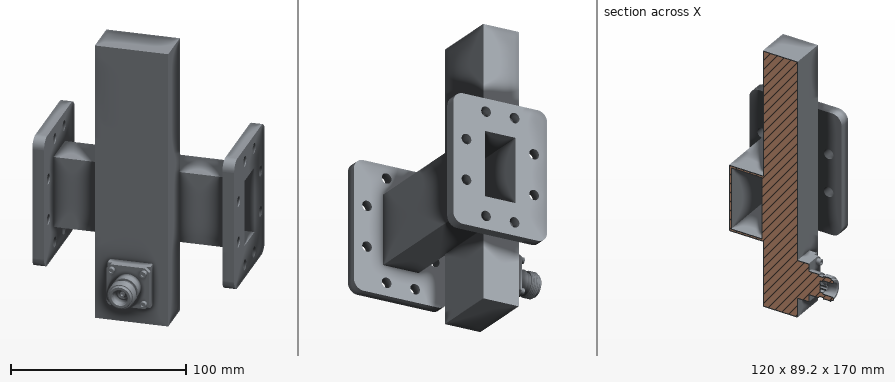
import cadquery as cq

OVERALL_LENGTH = 120.0
WALL = 1.625
BORE_DEPTH_Y = 20.19
BORE_HEIGHT = 40.39
GUIDE_DEPTH_Y = BORE_DEPTH_Y + 2 * WALL
GUIDE_HEIGHT = BORE_HEIGHT + 2 * WALL

FLANGE_THICKNESS = 7.0
FLANGE_DEPTH_Y = 61.9
FLANGE_HEIGHT = 80.9
FLANGE_CORNER_RADIUS = 6.35
FLANGE_HOLE_DIAMETER = 6.35
SIDE_HOLE_Y = 22.3
SIDE_HOLE_Z = 12.6
END_HOLE_Y = 9.4
END_HOLE_Z = 32.3

ARM_WIDTH = GUIDE_HEIGHT
ARM_DEPTH = GUIDE_DEPTH_Y
ARM_HEIGHT = 170.0
ARM_CENTRE_Z = 20.0
CAP_THICKNESS = 1.25
FRONT_EXTENT = 58.25

CONNECTOR_Z = -39.7
PLATE_SIDE = 25.4
PAD_LENGTH = 5.0
PLATE_LENGTH = 2.5
PLATE_CORNER_CHAMFER = 2.5
COLLAR_DIAMETER = 15.88
COLLAR_LENGTH = 6.7
NECK_DIAMETER = 13.72
NECK_LENGTH = 2.7
THREAD_DIAMETER = 15.88
THREAD_ROOT_DIAMETER = 14.8
THREAD_PITCH = 25.4 / 24
THREAD_RIDGES = 5
THREAD_LENGTH = THREAD_PITCH * THREAD_RIDGES
NOSE_LENGTH = 1.7
NOSE_CHAMFER = 0.5
CONNECTOR_LENGTH = PAD_LENGTH + PLATE_LENGTH + COLLAR_LENGTH + NECK_LENGTH + THREAD_LENGTH + NOSE_LENGTH
ARM_FRONT_Y = -FRONT_EXTENT + CONNECTOR_LENGTH

SOCKET_DIAMETER = 8.7
SOCKET_MOUTH_CHAMFER = 0.6
SOCKET_STEP_DEPTH = 7.0
SOCKET_FLOOR_DIAMETER = 6.99
SOCKET_DEPTH = 9.0
CONTACT_DIAMETER = 3.05
CONTACT_BORE_DIAMETER = 1.52
CONTACT_LENGTH = 4.5

SCREW_SPACING = 19.0
SCREW_HEAD_DIAMETER = 3.86
SCREW_HEAD_LENGTH = 2.55
SCREW_SOCKET_DIAMETER = 2.0
SCREW_SOCKET_DEPTH = 1.2


def make_flange(centre_x):
    """Rounded plate across the X axis with a ring of eight bolt holes."""
    side_holes = [(y, z) for y in (-SIDE_HOLE_Y, SIDE_HOLE_Y) for z in (-SIDE_HOLE_Z, SIDE_HOLE_Z)]
    end_holes = [(y, z) for y in (-END_HOLE_Y, END_HOLE_Y) for z in (-END_HOLE_Z, END_HOLE_Z)]
    plate = cq.Workplane("XY").box(FLANGE_THICKNESS, FLANGE_DEPTH_Y, FLANGE_HEIGHT)
    plate = plate.edges("|X").fillet(FLANGE_CORNER_RADIUS)
    plate = plate.faces(">X").workplane(origin=(0, 0, 0)).pushPoints(side_holes + end_holes)
    return plate.hole(FLANGE_HOLE_DIAMETER).translate((centre_x, 0, 0))


def make_arm():
    """Upright bar with a flush cap at each end; the cap joints stay as edges."""
    centre_y = ARM_FRONT_Y + ARM_DEPTH / 2
    body_height = ARM_HEIGHT - 2 * CAP_THICKNESS
    cap_offset_z = (ARM_HEIGHT - CAP_THICKNESS) / 2
    arm = cq.Workplane("XY").box(ARM_WIDTH, ARM_DEPTH, body_height)
    cap = cq.Workplane("XY").box(ARM_WIDTH, ARM_DEPTH, CAP_THICKNESS)
    for cap_z in (-cap_offset_z, cap_offset_z):
        arm = arm.union(cap.translate((0, 0, cap_z)), clean=False)
    return arm.translate((0, centre_y, ARM_CENTRE_Z))


def along_connector(distance):
    """Plane square to the connector axis, facing outwards, at a distance from the arm face."""
    return cq.Workplane("XZ", origin=(0, ARM_FRONT_Y - distance, CONNECTOR_Z))


def make_connector_plate():
    """Square pad under a plate with cut corners; the joint between them stays as an edge."""
    pad = along_connector(0).rect(PLATE_SIDE, PLATE_SIDE).extrude(PAD_LENGTH)
    plate = along_connector(PAD_LENGTH).rect(PLATE_SIDE, PLATE_SIDE).extrude(PLATE_LENGTH)
    return pad.union(plate.edges("|Y").chamfer(PLATE_CORNER_CHAMFER), clean=False)


def four_cylinders(start, diameter, length):
    """One cylinder at each screw position, growing outwards from the start distance."""
    corners = along_connector(start).rect(SCREW_SPACING, SCREW_SPACING, forConstruction=True).vertices()
    return corners.circle(diameter / 2).extrude(length)


def make_screws():
    """Four round screw heads with drive sockets, one near each corner of the plate."""
    heads_start = PAD_LENGTH + PLATE_LENGTH
    sockets_start = heads_start + SCREW_HEAD_LENGTH - SCREW_SOCKET_DEPTH
    heads = four_cylinders(heads_start, SCREW_HEAD_DIAMETER, SCREW_HEAD_LENGTH)
    return heads.cut(four_cylinders(sockets_start, SCREW_SOCKET_DIAMETER, SCREW_SOCKET_DEPTH))


def make_barrel():
    """Turned connector body: collar, neck, threaded band, nose and stepped socket."""
    neck_end = COLLAR_LENGTH + NECK_LENGTH
    thread_end = neck_end + THREAD_LENGTH
    tip = thread_end + NOSE_LENGTH
    floor = tip - SOCKET_DEPTH
    contact_tip = floor + CONTACT_LENGTH
    neck_radius = NECK_DIAMETER / 2
    socket_radius = SOCKET_DIAMETER / 2

    outline = [
        (0, 0),
        (COLLAR_DIAMETER / 2, 0),
        (COLLAR_DIAMETER / 2, COLLAR_LENGTH),
        (neck_radius, COLLAR_LENGTH),
        (neck_radius, neck_end),
    ]
    for ridge in range(THREAD_RIDGES):
        ridge_start = neck_end + ridge * THREAD_PITCH
        outline.append((THREAD_ROOT_DIAMETER / 2, ridge_start))
        outline.append((THREAD_DIAMETER / 2, ridge_start + THREAD_PITCH / 2))
    outline += [
        (THREAD_ROOT_DIAMETER / 2, thread_end),
        (neck_radius, thread_end),
        (neck_radius, tip - NOSE_CHAMFER),
        (neck_radius - NOSE_CHAMFER, tip),
        (socket_radius + SOCKET_MOUTH_CHAMFER, tip),
        (socket_radius, tip - SOCKET_MOUTH_CHAMFER),
        (socket_radius, tip - SOCKET_STEP_DEPTH),
        (SOCKET_FLOOR_DIAMETER / 2, tip - SOCKET_STEP_DEPTH),
        (SOCKET_FLOOR_DIAMETER / 2, floor),
        (CONTACT_DIAMETER / 2, floor),
        (CONTACT_DIAMETER / 2, contact_tip),
        (CONTACT_BORE_DIAMETER / 2, contact_tip),
        (CONTACT_BORE_DIAMETER / 2, floor),
        (0, floor),
    ]
    barrel = cq.Workplane("XY").polyline(outline).close().revolve(360, (0, 0, 0), (0, 1, 0))
    barrel = barrel.rotate((0, 0, 0), (1, 0, 0), 180)
    return barrel.translate((0, ARM_FRONT_Y - PAD_LENGTH - PLATE_LENGTH, CONNECTOR_Z))


flange_centre_x = (OVERALL_LENGTH - FLANGE_THICKNESS) / 2
guide = cq.Workplane("XY").box(OVERALL_LENGTH, GUIDE_DEPTH_Y, GUIDE_HEIGHT)
guide = guide.union(make_flange(-flange_centre_x)).union(make_flange(flange_centre_x))
bore = cq.Workplane("XY").box(OVERALL_LENGTH, BORE_DEPTH_Y, BORE_HEIGHT)

result = guide.cut(bore)
for component in (make_arm(), make_connector_plate(), make_screws(), make_barrel()):
    result = result.union(component, clean=False)